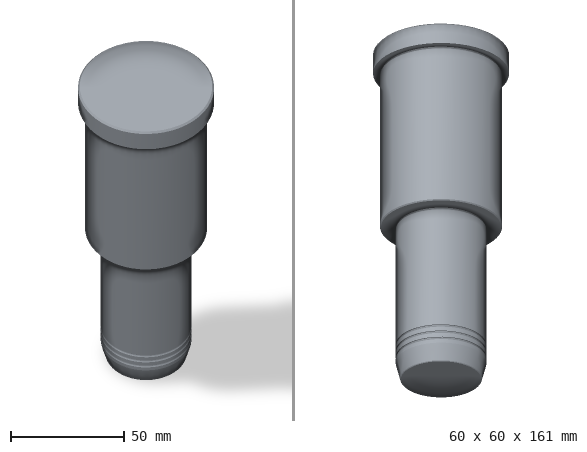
import cadquery as cq

total_length = 161.0
head_diameter = 60.0
head_height = 10.0
head_chamfer = 0.8
body_diameter = 54.0
body_bottom = 75.0
body_chamfer = 0.5
stem_diameter = 40.1

groove_depth = 0.5
neck_height = 0.5
slope_height = 0.6
groove_height = neck_height + slope_height

ring_count = 3
lowest_ring_top = 11.0
ring_pitch = 3.0

tip_height = 8.0
tip_diameter = 36.0
tip_bulge = 0.08
tip_chamfer = 0.3

head_bottom = total_length - head_height


def cylinder(diameter, bottom, top):
    """Solid cylinder on the Z axis between two heights."""
    return cq.Workplane("XY").workplane(offset=bottom).circle(diameter / 2).extrude(top - bottom)


def groove_cut(diameter, top):
    """Ring that cuts a relief groove into a cylinder, downward from the given height."""
    radius = diameter / 2
    bottom = top - groove_height
    profile = (
        cq.Workplane("XZ")
        .moveTo(radius, top)
        .lineTo(radius - groove_depth, top)
        .lineTo(radius - groove_depth, top - neck_height)
        .lineTo(radius, bottom)
        .close()
    )
    return profile.revolve(360, (0, 0, 0), (0, 1, 0))


def make_tip():
    """Revolved tip whose side is a shallow outward arc."""
    stem_radius = stem_diameter / 2
    tip_radius = tip_diameter / 2
    middle_radius = (stem_radius + tip_radius) / 2 + tip_bulge
    profile = (
        cq.Workplane("XZ")
        .moveTo(0, 0)
        .lineTo(tip_radius - tip_chamfer, 0)
        .lineTo(tip_radius, tip_chamfer)
        .threePointArc((middle_radius, (tip_height + tip_chamfer) / 2), (stem_radius, tip_height))
        .lineTo(0, tip_height)
        .close()
    )
    return profile.revolve(360, (0, 0, 0), (0, 1, 0))


head = cylinder(head_diameter, head_bottom, total_length).faces(">Z").edges().chamfer(head_chamfer)

body = cylinder(body_diameter, body_bottom, head_bottom).faces("<Z").edges().chamfer(body_chamfer)
body = body.cut(groove_cut(body_diameter, head_bottom))

stem = cylinder(stem_diameter, tip_height, body_bottom)
stem = stem.cut(groove_cut(stem_diameter, body_bottom))
for index in range(ring_count):
    stem = stem.cut(groove_cut(stem_diameter, lowest_ring_top + index * ring_pitch))

result = head.union(body).union(stem).union(make_tip())